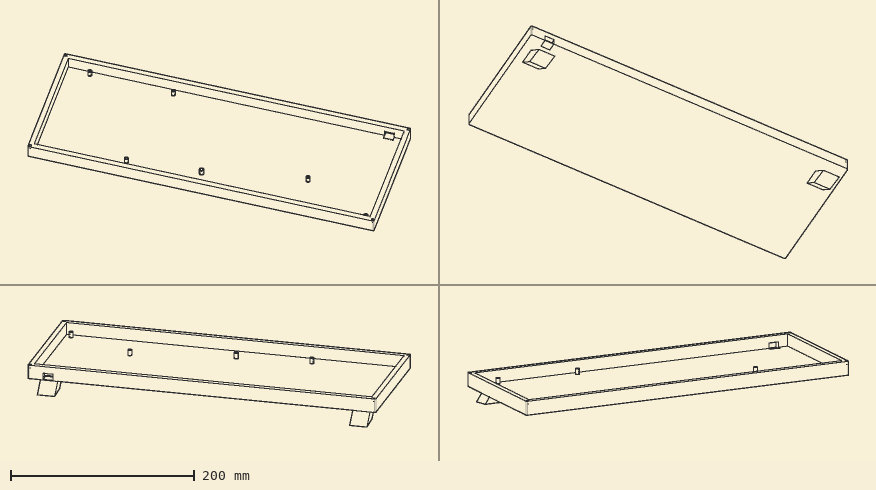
import cadquery as cq

length = 393.0
width = 143.0
height = 15.7
wall = 6.0
floor_thickness = 2.0
corner_radius = 1.0

rim_hole_diameter = 2.2
rim_hole_depth = 3.5
rim_hole_inset = 2.5

post_height = 6.3
small_post_diameter = 4.5
small_post_bore = 2.0
large_post_diameter = 5.0
large_post_bore = 3.05
small_post_centres = [
    (-164.5, 61.0),
    (-69.0, 58.5),
    (-90.5, -51.5),
    (107.3, -22.5),
    (183.5, -58.5),
]
large_post_centre = (-7.0, -44.5)

slot_width = 11.0
slot_centre_x = 173.7
slot_reach = 4.0
slot_bottom = 0.8
slot_top = 8.0

leg_width = 19.5
leg_end_inset = 10.2
leg_drop = 18.5
leg_heel_drop = 16.5
leg_root_rear_inset = 19.3
leg_root_front_inset = 38.5
leg_toe_inset = 1.0
leg_heel_inset = 22.5


def make_tray():
    outer = cq.Workplane("XY").box(length, width, height, centered=(True, True, False))
    outer = outer.edges("|Z").fillet(corner_radius)
    cavity = (
        cq.Workplane("XY")
        .workplane(offset=floor_thickness)
        .rect(length - 2 * wall, width - 2 * wall)
        .extrude(height - floor_thickness)
    )
    return outer.cut(cavity)


def make_rim_holes():
    return (
        cq.Workplane("XY")
        .workplane(offset=height - rim_hole_depth)
        .rect(length - 2 * rim_hole_inset, width - 2 * rim_hole_inset, forConstruction=True)
        .vertices()
        .circle(rim_hole_diameter / 2)
        .extrude(rim_hole_depth)
    )


def make_posts(centres, diameter, bore):
    return (
        cq.Workplane("XY")
        .workplane(offset=floor_thickness)
        .pushPoints(centres)
        .circle(diameter / 2)
        .circle(bore / 2)
        .extrude(post_height)
    )


def make_cable_slot():
    slot_length = wall + slot_reach
    return (
        cq.Workplane("XY")
        .box(slot_width, slot_length, slot_top - slot_bottom, centered=(True, False, False))
        .translate((slot_centre_x, width / 2 - slot_length, slot_bottom))
    )


def make_leg(start_x):
    rear = width / 2
    return (
        cq.Workplane("YZ")
        .workplane(offset=start_x)
        .moveTo(rear - leg_root_rear_inset, 0)
        .lineTo(rear - leg_toe_inset, -leg_drop)
        .lineTo(rear - leg_heel_inset, -leg_heel_drop)
        .lineTo(rear - leg_root_front_inset, 0)
        .close()
        .extrude(leg_width)
    )


result = make_tray().cut(make_rim_holes()).cut(make_cable_slot())
result = result.union(make_posts(small_post_centres, small_post_diameter, small_post_bore))
result = result.union(make_posts([large_post_centre], large_post_diameter, large_post_bore))
left_leg_start = -length / 2 + leg_end_inset
right_leg_start = length / 2 - leg_end_inset - leg_width
for leg_start in (left_leg_start, right_leg_start):
    result = result.union(make_leg(leg_start))